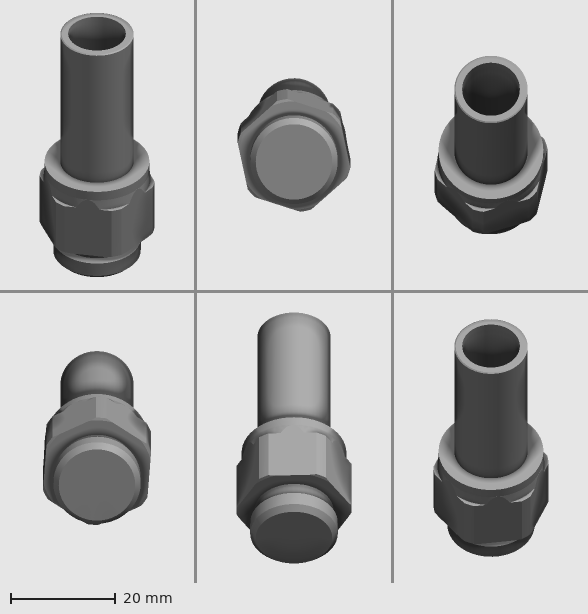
import cadquery as cq
import math

hex_sides = 6
across_flats = 20.0
hex_corner_diameter = 22.0
hex_bottom_z = 7.0
hex_bottom_chamfer_height = 0.15
hex_bottom_chamfer_width = 0.5
hex_shoulder_z = 17.95

collar_radius = across_flats / 2
collar_taper_base_radius = 10.25
collar_taper_top_z = 20.0
collar_top_z = 22.0

spigot_radius = 8.35
spigot_tip_radius = 7.3
spigot_tip_chamfer_height = 1.05
spigot_shoulder_z = 3.95
neck_radius = 7.35
neck_bottom_z = 4.5
neck_top_flare_height = 0.4
neck_top_flare_width = 0.2

overall_height = 52.0
tube_radius = 7.0
bore_radius = 5.5
bore_depth = overall_height - collar_top_z
tube_rim_chamfer_width = 0.25
tube_rim_chamfer_height = 0.15


def revolve_profile(points):
    """Revolve a closed (radius, height) outline about the Z axis."""
    return cq.Workplane("XZ").polyline(points).close().revolve(360, (0, 0), (0, 1))


def make_spigot():
    return revolve_profile([
        (0, 0),
        (spigot_tip_radius, 0),
        (spigot_radius, spigot_tip_chamfer_height),
        (spigot_radius, spigot_shoulder_z),
        (neck_radius, neck_bottom_z),
        (neck_radius, hex_bottom_z - neck_top_flare_height),
        (neck_radius + neck_top_flare_width, hex_bottom_z),
        (0, hex_bottom_z),
    ])


def make_hex_body():
    """Turned blank with a tapered collar, trimmed by the six wrench flats."""
    corner_radius = hex_corner_diameter / 2
    blank = revolve_profile([
        (0, hex_bottom_z),
        (corner_radius - hex_bottom_chamfer_width, hex_bottom_z),
        (corner_radius, hex_bottom_z + hex_bottom_chamfer_height),
        (corner_radius, hex_shoulder_z),
        (collar_taper_base_radius, hex_shoulder_z),
        (collar_radius, collar_taper_top_z),
        (collar_radius, collar_top_z),
        (0, collar_top_z),
    ])
    sharp_corner_diameter = across_flats / math.cos(math.pi / hex_sides)
    flats = (
        cq.Workplane("XY")
        .workplane(offset=hex_bottom_z)
        .polygon(hex_sides, sharp_corner_diameter)
        .extrude(collar_taper_top_z - hex_bottom_z)
    )
    ring = (
        cq.Workplane("XY")
        .workplane(offset=collar_taper_top_z)
        .circle(collar_radius)
        .extrude(collar_top_z - collar_taper_top_z)
    )
    return blank.intersect(flats).union(ring)


def make_tube():
    return revolve_profile([
        (0, collar_top_z),
        (tube_radius, collar_top_z),
        (tube_radius, overall_height - tube_rim_chamfer_height),
        (tube_radius - tube_rim_chamfer_width, overall_height),
        (0, overall_height),
    ])


def make_bore():
    return (
        cq.Workplane("XY")
        .workplane(offset=overall_height - bore_depth)
        .circle(bore_radius)
        .extrude(bore_depth)
    )


result = make_spigot().union(make_hex_body()).union(make_tube()).cut(make_bore())